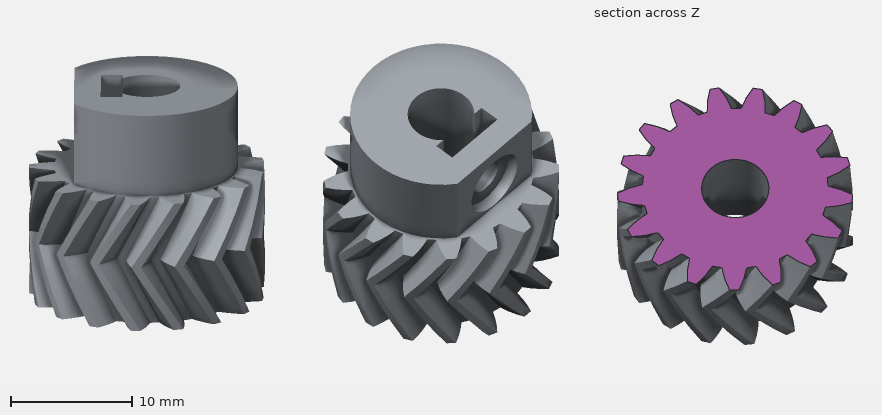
import cadquery as cq
import math

TOOTH_COUNT = 17
TOOTH_PITCH = 360 / TOOTH_COUNT
GEAR_HEIGHT = 11.0
HALF_GEAR_HEIGHT = GEAR_HEIGHT / 2
TWIST_PER_HALF = 20.8

ROOT_RADIUS = 7.67
ROOT_HALF_ANGLE = 7.75
FLANK_RADIUS = 8.7
FLANK_HALF_ANGLE = TOOTH_PITCH / 4
TIP_RADIUS = 9.73
TIP_HALF_ANGLE = 2.35

HUB_RADIUS = 7.5
HUB_HEIGHT = 7.0
TOTAL_HEIGHT = GEAR_HEIGHT + HUB_HEIGHT
BORE_DIAMETER = 5.5

FLAT_DIRECTION = 215.3
FLAT_DISTANCE = 6.0

SCREW_HEIGHT = 14.0
SCREW_DIAMETER = 3.0
HEAD_DIAMETER = 5.6
HEAD_DEPTH = 1.0

NUT_WIDTH = 5.5
SLOT_INNER_DISTANCE = 2.0
SLOT_OUTER_DISTANCE = 3.8
SLOT_FLOOR = SCREW_HEIGHT - NUT_WIDTH / 2


def polar(radius, degrees):
    """Point in the XY plane at a radius and an angle."""
    angle = math.radians(degrees)
    return radius * math.cos(angle), radius * math.sin(angle)


def gear_section():
    """Closed outline of all teeth, with a tooth centred on the +X axis."""
    section = cq.Workplane("XY").moveTo(*polar(ROOT_RADIUS, -ROOT_HALF_ANGLE))
    for tooth in range(TOOTH_COUNT):
        centre = tooth * TOOTH_PITCH
        next_root = centre + TOOTH_PITCH - ROOT_HALF_ANGLE
        section = (
            section
            .threePointArc(
                polar(FLANK_RADIUS, centre - FLANK_HALF_ANGLE),
                polar(TIP_RADIUS, centre - TIP_HALF_ANGLE),
            )
            .threePointArc(
                polar(TIP_RADIUS, centre),
                polar(TIP_RADIUS, centre + TIP_HALF_ANGLE),
            )
            .threePointArc(
                polar(FLANK_RADIUS, centre + FLANK_HALF_ANGLE),
                polar(ROOT_RADIUS, centre + ROOT_HALF_ANGLE),
            )
            .threePointArc(
                polar(ROOT_RADIUS, centre + TOOTH_PITCH / 2),
                polar(ROOT_RADIUS, next_root),
            )
        )
    return section.close()


def herringbone_gear():
    """Two helical halves of opposite hand, mirrored about the gear's middle plane."""
    lower_half = gear_section().twistExtrude(HALF_GEAR_HEIGHT, -TWIST_PER_HALF)
    upper_half = lower_half.mirror("XY", (0, 0, HALF_GEAR_HEIGHT))
    return lower_half.union(upper_half)


def hub():
    """Round hub on top of the gear, with a flat on its +X side."""
    cylinder = cq.Workplane("XY").workplane(offset=GEAR_HEIGHT).circle(HUB_RADIUS).extrude(HUB_HEIGHT)
    beyond_flat = (
        cq.Workplane("XY")
        .workplane(offset=GEAR_HEIGHT)
        .moveTo(FLAT_DISTANCE + HUB_RADIUS, 0)
        .rect(2 * HUB_RADIUS, 2 * HUB_RADIUS)
        .extrude(HUB_HEIGHT)
    )
    return cylinder.cut(beyond_flat)


def bore():
    return cq.Workplane("XY").circle(BORE_DIAMETER / 2).extrude(TOTAL_HEIGHT)


def screw_hole():
    """Clearance hole from the bore axis to the flat, with a recess for the screw head."""
    axis_plane = cq.Workplane("YZ").center(0, SCREW_HEIGHT)
    shank = axis_plane.circle(SCREW_DIAMETER / 2).extrude(FLAT_DISTANCE)
    head = (
        axis_plane
        .workplane(offset=FLAT_DISTANCE - HEAD_DEPTH)
        .circle(HEAD_DIAMETER / 2)
        .extrude(HEAD_DEPTH)
    )
    return shank.union(head)


def nut_slot():
    thickness = SLOT_OUTER_DISTANCE - SLOT_INNER_DISTANCE
    return (
        cq.Workplane("XY")
        .workplane(offset=SLOT_FLOOR)
        .moveTo(SLOT_INNER_DISTANCE + thickness / 2, 0)
        .rect(thickness, NUT_WIDTH)
        .extrude(TOTAL_HEIGHT - SLOT_FLOOR)
    )


part = herringbone_gear().union(hub())
part = part.cut(bore()).cut(screw_hole()).cut(nut_slot())
result = part.rotate((0, 0, 0), (0, 0, 1), FLAT_DIRECTION)